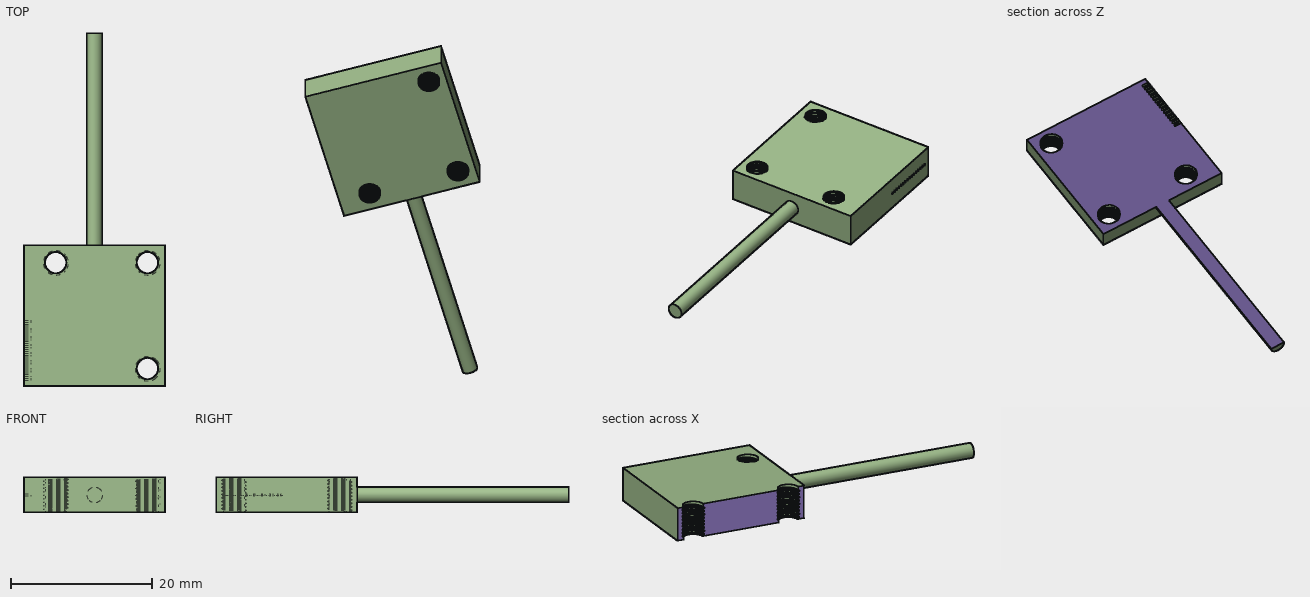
import cadquery as cq

body_side = 20.0
body_thickness = 5.0

cable_diameter = 2.2
cable_length = 30.0

bore_diameter = 3.0
thread_pitch = 0.5
thread_depth = 0.25
groove_width = 0.6 * thread_pitch
thread_end_angle = 40.0
hole_inset = 2.5
left_hole_inset = 4.5
right_hole_x = body_side / 2 - hole_inset
left_hole_x = -body_side / 2 + left_hole_inset
front_hole_y = hole_inset
back_hole_y = body_side - hole_inset
hole_positions = [
    (left_hole_x, back_hole_y),
    (right_hole_x, back_hole_y),
    (right_hole_x, front_hole_y),
]

fine_hole_count = 16
fine_hole_diameter = 0.27
fine_hole_pitch = 0.55
fine_hole_depth = 1.0
fine_row_center_y = 5.1


def make_body():
    block = cq.Workplane("XY").box(body_side, body_side, body_thickness)
    return block.translate((0, body_side / 2, 0))


def make_cable():
    back_face = cq.Workplane("XZ", origin=(0, body_side, 0))
    return back_face.circle(cable_diameter / 2).extrude(-cable_length)


def make_bore():
    return cq.Workplane("XY").circle(bore_diameter / 2).extrude(body_thickness / 2, both=True)


def make_thread_groove():
    """Right-handed helical V-groove that stays just inside the top and bottom faces."""
    bore_radius = bore_diameter / 2
    overlap = 0.1
    half_width = groove_width / 2 * (1 + overlap / thread_depth)
    height = body_thickness - thread_pitch
    helix = cq.Workplane(cq.Wire.makeHelix(thread_pitch, height, bore_radius))
    profile = (
        cq.Workplane("XZ")
        .moveTo(bore_radius - overlap, -half_width)
        .lineTo(bore_radius + thread_depth, 0)
        .lineTo(bore_radius - overlap, half_width)
        .close()
    )
    groove = profile.sweep(helix, isFrenet=True).translate((0, 0, -height / 2))
    return groove.rotate((0, 0, 0), (0, 0, 1), thread_end_angle)


def make_fine_holes():
    first_y = fine_row_center_y - (fine_hole_count - 1) * fine_hole_pitch / 2
    centers = [(first_y + index * fine_hole_pitch, 0) for index in range(fine_hole_count)]
    side_face = cq.Workplane("YZ", origin=(-body_side / 2, 0, 0))
    return side_face.pushPoints(centers).circle(fine_hole_diameter / 2).extrude(fine_hole_depth)


bore = make_bore()
groove = make_thread_groove()

result = make_body().union(make_cable())
for x, y in hole_positions:
    result = result.cut(bore.translate((x, y, 0)))
    result = result.cut(groove.translate((x, y, 0)))
result = result.cut(make_fine_holes())